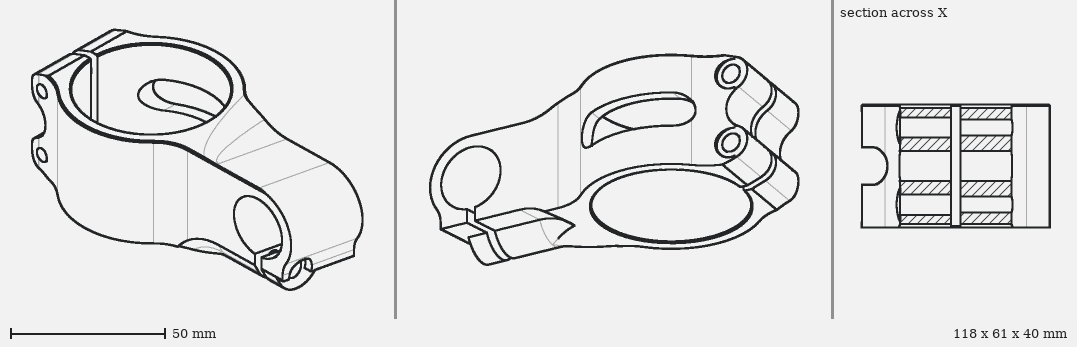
import cadquery as cq
import math


HEIGHT = 40.0
RING_DIAMETER = 61.0
BORE_RADIUS = 26.0
EDGE_CHAMFER = 0.5
SLIT_WIDTH = 3.0

LUG_END_X = -37.9
LUG_HALF_WIDTH = 18.0
LUG_FILLET = 20.0
LUG_CORNER_WIDTH = 4.4
LUG_CORNER_DEPTH = 1.3
LOBE_RADIUS = 6.0
LOBE_SPACING = 25.0
SADDLE_RADIUS = 8.0
RAMP_END_X = -28.9

ARM_HALF_WIDTH = 16.5
ARM_FILLET = 15.1
TILT = 10.0
BAR_X = 65.0
BAR_Z = 21.7
BAR_RADIUS = 11.0
ARM_END_RADIUS = 15.1
JAW_END_X = 76.2
JAW_FILLET = 9.4
BLEND_START_X = 45.7
BLEND_RADIUS = 20.0

SCOOP_X = 47.0
SCOOP_AXIS_Z = -13.3
UNDERSIDE_BACK_Z = 2.8
BOSS_RADIUS = 9.9
BOSS_Y = -5.8
BOSS_END_X = 73.3
BOSS_SLANT = 27.0

THREAD_DIAMETER = 5.0
CLEARANCE_DIAMETER = 6.5
HEAD_DIAMETER = 10.5
BAR_SCREW_Y = -8.3
BAR_SCREW_Z = 8.3
BAR_SCREW_DEPTH = 17.7

WINDOW_HEIGHT = 12.0
WINDOW_LENGTH = 42.0

RING_RADIUS = RING_DIAMETER / 2
MID_Z = HEIGHT / 2
LOBE_X = LUG_END_X + LOBE_RADIUS
ARM_END_X = BAR_X + ARM_END_RADIUS
LOBE_HEIGHTS = (MID_Z - LOBE_SPACING / 2, MID_Z + LOBE_SPACING / 2)
BEYOND = 94.4
SIDE_CLEARANCE = 2.4


def block(x0, x1, y0, y1, z0, z1):
    """Axis-aligned box between two opposite corners."""
    box = cq.Workplane("XY").box(x1 - x0, y1 - y0, z1 - z0, centered=False)
    return box.translate((x0, y0, z0))


def flank_points(half_width, fillet):
    """Ends and middle of the arc joining a straight flank to the ring, for +X and +Y."""
    centre_y = half_width + fillet
    centre_x = math.sqrt((RING_RADIUS + fillet) ** 2 - centre_y**2)
    share = RING_RADIUS / (RING_RADIUS + fillet)
    on_ring = (centre_x * share, centre_y * share)
    bisector = (math.atan2(-centre_y, -centre_x) - math.pi / 2) / 2
    middle = (centre_x + fillet * math.cos(bisector), centre_y + fillet * math.sin(bisector))
    return on_ring, middle, (centre_x, half_width)


def mirror_x(point):
    return (-point[0], point[1])


def mirror_y(point):
    return (point[0], -point[1])


def plan_body():
    """Ring, lugs and arm as one outline, with the top edge chamfered."""
    arm_ring, arm_mid, arm_flank = flank_points(ARM_HALF_WIDTH, ARM_FILLET)
    lug_ring, lug_mid, lug_flank = map(mirror_x, flank_points(LUG_HALF_WIDTH, LUG_FILLET))
    corner_x = LUG_END_X + LUG_CORNER_WIDTH
    outline = (
        cq.Workplane("XY")
        .moveTo(LUG_END_X, LUG_HALF_WIDTH)
        .lineTo(*lug_flank)
        .threePointArc(lug_mid, lug_ring)
        .threePointArc((0, RING_RADIUS), arm_ring)
        .threePointArc(arm_mid, arm_flank)
        .lineTo(ARM_END_X, ARM_HALF_WIDTH)
        .lineTo(ARM_END_X, -ARM_HALF_WIDTH)
        .lineTo(*mirror_y(arm_flank))
        .threePointArc(mirror_y(arm_mid), mirror_y(arm_ring))
        .threePointArc((0, -RING_RADIUS), mirror_y(lug_ring))
        .threePointArc(mirror_y(lug_mid), mirror_y(lug_flank))
        .lineTo(corner_x, -LUG_HALF_WIDTH)
        .tangentArcPoint((LUG_END_X, LUG_CORNER_DEPTH - LUG_HALF_WIDTH), relative=False)
        .close()
    )
    return outline.extrude(HEIGHT).faces(">Z").edges().chamfer(EDGE_CHAMFER)


def lug_envelope():
    """Side profile of the two lobes and the saddle between them, open toward +X."""
    half_spacing = LOBE_SPACING / 2
    reach = LOBE_RADIUS + SADDLE_RADIUS
    saddle_x = LOBE_X - math.sqrt(reach**2 - half_spacing**2)
    share = LOBE_RADIUS / reach
    join_x = LOBE_X + (saddle_x - LOBE_X) * share
    join_z = half_spacing * (1 - share)

    run = RAMP_END_X - LOBE_X
    rise = MID_Z - half_spacing
    tangent_angle = math.atan2(rise, run) + math.acos(LOBE_RADIUS / math.hypot(run, rise))
    ramp_x = LOBE_X + LOBE_RADIUS * math.cos(tangent_angle)
    ramp_z = half_spacing + LOBE_RADIUS * math.sin(tangent_angle)
    profile = (
        cq.Workplane("XZ", origin=(0, 0, MID_Z))
        .moveTo(BEYOND, MID_Z)
        .lineTo(RAMP_END_X, MID_Z)
        .lineTo(ramp_x, ramp_z)
        .threePointArc((LUG_END_X, half_spacing), (join_x, join_z))
        .threePointArc((saddle_x + SADDLE_RADIUS, 0), (join_x, -join_z))
        .threePointArc((LUG_END_X, -half_spacing), (ramp_x, -ramp_z))
        .lineTo(RAMP_END_X, -MID_Z)
        .lineTo(BEYOND, -MID_Z)
        .close()
    )
    return profile.extrude(BEYOND, both=True)


def tilt_arm(shape):
    """Tilt a shape about the X-parallel line through the middle of the bar bore."""
    return shape.rotate((0, 0, BAR_Z), (1, 0, BAR_Z), -TILT)


def arm_envelope():
    """Tilted side profile of the arm: top face, rounded end and jaw end, open toward -X."""
    jaw_dx = JAW_END_X - BAR_X + JAW_FILLET
    jaw_reach = ARM_END_RADIUS + JAW_FILLET
    jaw_dz = -math.sqrt(jaw_reach**2 - jaw_dx**2)
    share = ARM_END_RADIUS / jaw_reach
    profile = (
        cq.Workplane("XZ", origin=(BAR_X, 0, BAR_Z))
        .moveTo(-BEYOND * 2, BEYOND)
        .lineTo(BLEND_START_X - BLEND_RADIUS - BAR_X, BEYOND)
        .lineTo(BLEND_START_X - BLEND_RADIUS - BAR_X, ARM_END_RADIUS + BLEND_RADIUS)
        .tangentArcPoint((BLEND_START_X - BAR_X, ARM_END_RADIUS), relative=False)
        .lineTo(0, ARM_END_RADIUS)
        .tangentArcPoint((jaw_dx * share, jaw_dz * share), relative=False)
        .tangentArcPoint((jaw_dx - JAW_FILLET, jaw_dz), relative=False)
        .lineTo(jaw_dx - JAW_FILLET, -BEYOND)
        .lineTo(-BEYOND * 2, -BEYOND)
        .close()
    )
    return tilt_arm(profile.extrude(BEYOND, both=True))


def underside_z(y):
    """Height of the tilted underside of the arm."""
    return UNDERSIDE_BACK_Z + (ARM_HALF_WIDTH - y) * math.tan(math.radians(TILT))


def underside_cut():
    """Space below the arm: straight under the bar, curving down to meet the ring."""
    slant = math.radians(BOSS_SLANT)
    boss_z = BOSS_RADIUS
    touch_y = BOSS_Y - BOSS_RADIUS * math.cos(slant)
    touch_z = boss_z - BOSS_RADIUS * math.sin(slant)
    front_y = -ARM_HALF_WIDTH - SIDE_CLEARANCE
    front_z = touch_z + (touch_y + ARM_HALF_WIDTH) / math.tan(slant)
    back_y = ARM_HALF_WIDTH + SIDE_CLEARANCE

    tilt = math.radians(TILT)
    gap = (boss_z - underside_z(BOSS_Y)) * math.cos(tilt)
    meet_angle = -math.asin(gap / BOSS_RADIUS) - tilt
    meet_y = BOSS_Y + BOSS_RADIUS * math.cos(meet_angle)
    meet_z = boss_z + BOSS_RADIUS * math.sin(meet_angle)

    section = (
        cq.Workplane("YZ", origin=(SCOOP_X, 0, 0))
        .moveTo(front_y, SCOOP_AXIS_Z)
        .lineTo(front_y, front_z)
        .lineTo(-ARM_HALF_WIDTH, front_z)
        .lineTo(touch_y, touch_z)
        .threePointArc((BOSS_Y, 0), (meet_y, meet_z))
        .lineTo(back_y, underside_z(back_y))
        .lineTo(back_y, SCOOP_AXIS_Z)
        .close()
    )
    straight = section.extrude(BEYOND)
    scoop = section.toPending().revolve(90, (0, SCOOP_AXIS_Z, 0), (-1, SCOOP_AXIS_Z, 0))
    beyond_boss = (
        cq.Workplane("YZ", origin=(BOSS_END_X, 0, 0))
        .moveTo(front_y, SCOOP_AXIS_Z)
        .lineTo(front_y, underside_z(front_y))
        .lineTo(back_y, underside_z(back_y))
        .lineTo(back_y, SCOOP_AXIS_Z)
        .close()
        .extrude(BEYOND)
    )
    return straight.union(scoop).union(beyond_boss)


def blend_edge():
    """Selects the edge where the ring's top face meets the blend into the arm."""
    low = (RING_RADIUS, -SIDE_CLEARANCE, HEIGHT - EDGE_CHAMFER / 2)
    high = (BLEND_START_X, SIDE_CLEARANCE, HEIGHT + EDGE_CHAMFER / 2)
    return cq.selectors.BoxSelector(low, high)


def ring_bore():
    """Main bore with a chamfer at both ends."""
    bore = cq.Workplane("XY").circle(BORE_RADIUS).extrude(HEIGHT)
    mouth = cq.Workplane("XY").circle(BORE_RADIUS + EDGE_CHAMFER).extrude(EDGE_CHAMFER, taper=45)
    upper_mouth = mouth.mirror("XY").translate((0, 0, HEIGHT))
    cutter = bore.union(mouth).union(upper_mouth)
    return cutter.rotate((0, 0, 0), (0, 0, 1), 180)


def ring_window():
    """Round-ended window through the +Y wall of the ring."""
    window = cq.Workplane("XZ", origin=(0, 0, MID_Z)).slot2D(WINDOW_LENGTH, WINDOW_HEIGHT)
    return window.extrude(-BEYOND)


def cylinder_y(diameter, x, z, y0, y1):
    return cq.Workplane("XZ", origin=(x, y0, z)).circle(diameter / 2).extrude(y0 - y1)


def cylinder_x(diameter, y, z, x0, x1):
    return cq.Workplane("YZ", origin=(x0, y, z)).circle(diameter / 2).extrude(x1 - x0)


def lug_screw(z):
    """Threaded hole in the -Y lug, clearance hole and head seat in the +Y lug."""
    thread = cylinder_y(THREAD_DIAMETER, LOBE_X, z, -BEYOND, 0)
    clearance = cylinder_y(CLEARANCE_DIAMETER, LOBE_X, z, 0, LUG_HALF_WIDTH)
    seat = cylinder_y(HEAD_DIAMETER, LOBE_X, z, LUG_HALF_WIDTH, BEYOND)
    return thread.union(clearance).union(seat)


def bar_screw():
    """Screw across the bar slit: blind thread, clearance hole and head seat."""
    thread = cylinder_x(THREAD_DIAMETER, BAR_SCREW_Y, BAR_SCREW_Z, BAR_X - BAR_SCREW_DEPTH, BAR_X)
    clearance = cylinder_x(CLEARANCE_DIAMETER, BAR_SCREW_Y, BAR_SCREW_Z, BAR_X, BOSS_END_X)
    seat = cylinder_x(HEAD_DIAMETER, BAR_SCREW_Y, BAR_SCREW_Z, BOSS_END_X, BEYOND)
    return thread.union(clearance).union(seat)


def bar_bore():
    """Tilted handlebar bore."""
    bore = cq.Workplane("XZ", origin=(BAR_X, 0, BAR_Z)).circle(BAR_RADIUS)
    return tilt_arm(bore.extrude(BEYOND, both=True))


body = plan_body().intersect(lug_envelope()).intersect(arm_envelope())
body = body.edges(blend_edge()).fillet(BLEND_RADIUS)
body = body.cut(underside_cut())
body = body.cut(ring_bore()).cut(ring_window()).cut(bar_bore())

half_slit = SLIT_WIDTH / 2
body = body.cut(block(-BEYOND, 0, -half_slit, half_slit, 0, HEIGHT))
body = body.cut(block(BAR_X - half_slit, BAR_X + half_slit, -BEYOND, BEYOND, 0, BAR_Z))
for lobe_z in LOBE_HEIGHTS:
    body = body.cut(lug_screw(lobe_z))
result = body.cut(bar_screw())